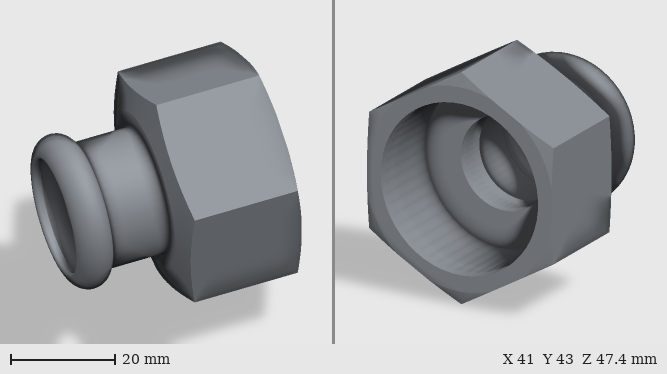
import cadquery as cq
import math

across_corners = 47.35
length = 43.0
hex_length = 24.05
mouth_y = -length / 2
back_y = length / 2
hex_front_y = back_y - hex_length

chamfer_angle = 15.0
front_face_radius = 31.5 / 2
corner_radius = across_corners / 2
back_chamfer_depth = 0.75

tube_radius = 25.3 / 2
base_fillet = 0.43
bead_radius = 30.85 / 2
bead_width = 7.35
mouth_edge_radius = 24.25 / 2
bead_start_y = mouth_y + bead_width

socket_radius = 22.3 / 2
lip_radius = 22.9 / 2
bore_radius = 19.3 / 2
thread_radius = 35.0 / 2
socket_floor_y = hex_front_y
thread_depth = 17.05

lip_land = 1.1
bead_wall = 2.6
groove_end_wall = 1.7
groove_land = 1.1
socket_lead_in = 0.55


def revolve_about_y(profile):
    return profile.close().revolve(360, (0, 0, 0), (0, 1, 0))


def make_hexagon():
    slope = math.tan(math.radians(chamfer_angle))
    front_drop = (corner_radius - front_face_radius) * slope
    back_face_radius = corner_radius - back_chamfer_depth / slope
    prism = (
        cq.Workplane("XZ", origin=(0, back_y, 0))
        .polygon(6, across_corners)
        .extrude(hex_length)
        .rotate((0, 0, 0), (0, 1, 0), 30)
    )
    envelope = revolve_about_y(
        cq.Workplane("XY")
        .moveTo(0, hex_front_y)
        .lineTo(front_face_radius, hex_front_y)
        .lineTo(corner_radius, hex_front_y + front_drop)
        .lineTo(corner_radius, back_y - back_chamfer_depth)
        .lineTo(back_face_radius, back_y)
        .lineTo(0, back_y)
    )
    return prism.intersect(envelope)


def make_tube():
    return revolve_about_y(
        cq.Workplane("XY")
        .moveTo(0, mouth_y)
        .lineTo(mouth_edge_radius, mouth_y)
        .threePointArc((bead_radius, mouth_y + bead_width / 2), (tube_radius, bead_start_y))
        .lineTo(tube_radius, hex_front_y - base_fillet)
        .radiusArc((tube_radius + base_fillet, hex_front_y), base_fillet)
        .lineTo(0, hex_front_y)
    )


def make_bores():
    lip_round = mouth_edge_radius - lip_radius
    lip_inset = lip_round * (1 - math.sqrt(0.5))
    lip_end_y = mouth_y + lip_round
    groove_start_y = lip_end_y + lip_land
    groove_end_y = bead_start_y - groove_end_wall
    lead_in_y = groove_end_y + groove_land
    thread_end_y = back_y - thread_depth
    return revolve_about_y(
        cq.Workplane("XY")
        .moveTo(0, mouth_y)
        .lineTo(mouth_edge_radius, mouth_y)
        .threePointArc(
            (lip_radius + lip_inset, mouth_y + lip_inset),
            (lip_radius, lip_end_y),
        )
        .lineTo(lip_radius, groove_start_y)
        .threePointArc(
            (bead_radius - bead_wall, (groove_start_y + groove_end_y) / 2),
            (lip_radius, groove_end_y),
        )
        .lineTo(lip_radius, lead_in_y)
        .lineTo(socket_radius, lead_in_y + socket_lead_in)
        .lineTo(socket_radius, socket_floor_y)
        .lineTo(bore_radius, socket_floor_y)
        .lineTo(bore_radius, thread_end_y)
        .lineTo(thread_radius, thread_end_y)
        .lineTo(thread_radius, back_y)
        .lineTo(0, back_y)
    )


result = make_hexagon().union(make_tube()).cut(make_bores())